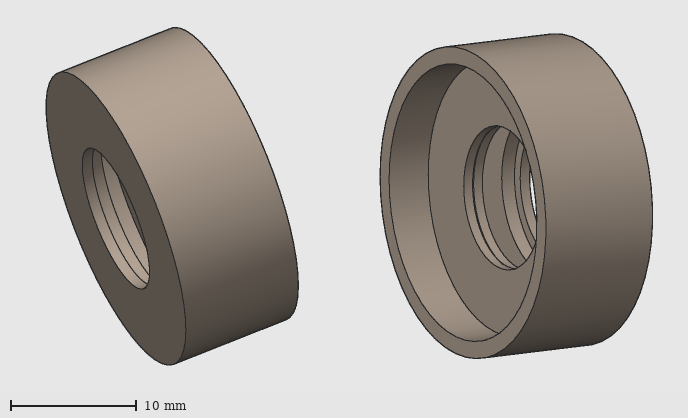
import cadquery as cq

outer_diameter = 24.95
housing_length = 10.0
front_wall = 2.1
opening_diameter = 12.0
opening_lip = 0.9
relief_diameter = 13.72
chamber_diameter = 22.2

insert_front = 4.45
insert_thickness = 1.9
lip_width = 0.82
rear_lip_diameter = 11.53
groove_diameter = 13.97
groove_width = insert_thickness - 2 * lip_width

front_y = -housing_length / 2


def cylinder(diameter, start, length):
    """Solid cylinder along +Y, starting at a distance behind the housing front."""
    plane = cq.Workplane("XZ", origin=(0, front_y + start, 0))
    return plane.circle(diameter / 2).extrude(-length)


def make_housing():
    body = cylinder(outer_diameter, 0, housing_length)
    opening = cylinder(opening_diameter, 0, opening_lip)
    relief = cylinder(relief_diameter, opening_lip, front_wall - opening_lip)
    chamber = cylinder(chamber_diameter, front_wall, housing_length - front_wall)
    return body.cut(opening).cut(relief).cut(chamber)


def make_insert():
    groove_start = insert_front + lip_width
    rear_lip_start = groove_start + groove_width
    body = cylinder(chamber_diameter, insert_front, insert_thickness)
    front_bore = cylinder(opening_diameter, insert_front, lip_width)
    groove = cylinder(groove_diameter, groove_start, groove_width)
    rear_bore = cylinder(rear_lip_diameter, rear_lip_start, lip_width)
    return body.cut(front_bore).cut(groove).cut(rear_bore)


housing = make_housing()
insert = make_insert()

result = cq.Compound.makeCompound([housing.val(), insert.val()])